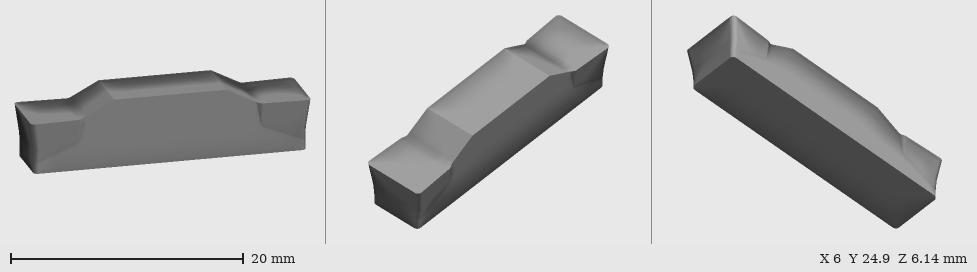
import cadquery as cq
import math

length = 24.94
height = 6.14
body_width = 5.2
edge_width = 6.0

floor_height = 4.67
edge_drop = 0.017
land_length = 0.4
dish_end = 3.62
dish_depth = 0.014
ramp_blend_radius = 1.64
ramp_angle = math.radians(27.6)
crest_start = 7.47

front_relief = math.radians(7.5)
relief_end_height = 2.34
relief_blend_radius = 4.3
corner_radius = 0.4

side_relief = math.radians(6)
back_taper = math.radians(2.5)
flank_length = 4.36
shoulder_angle = math.radians(28)
shoulder_radius = 0.2

tip = length / 2


def outline_points():
    """Half of the YZ outline, as named (y, z) points from the base of the +Y end to the crest."""
    relief_depth = (floor_height - edge_drop - relief_end_height) * math.tan(front_relief)
    relief_y = tip - relief_depth
    base_y = relief_y - relief_blend_radius * (1 - math.cos(front_relief))
    blend_z = relief_end_height - relief_blend_radius * math.sin(front_relief)
    half_angle = front_relief / 2
    blend_mid = (
        base_y + relief_blend_radius * (1 - math.cos(half_angle)),
        blend_z + relief_blend_radius * math.sin(half_angle),
    )

    ramp_rise = height - floor_height
    blend_rise = ramp_blend_radius * (1 - math.cos(ramp_angle))
    ramp_run = (ramp_rise - blend_rise) / math.tan(ramp_angle)
    ramp_y = tip - crest_start + ramp_run
    floor_y = ramp_y + ramp_blend_radius * math.sin(ramp_angle)
    half_ramp = ramp_angle / 2
    ramp_mid = (
        floor_y - ramp_blend_radius * math.sin(half_ramp),
        floor_height + ramp_blend_radius * (1 - math.cos(half_ramp)),
    )
    return {
        "base": (base_y, 0),
        "blend_start": (base_y, blend_z),
        "blend_mid": blend_mid,
        "blend_end": (relief_y, relief_end_height),
        "edge": (tip, floor_height - edge_drop),
        "land_mid": (tip - land_length / 2, floor_height - edge_drop / 4),
        "land_end": (tip - land_length, floor_height),
        "dish_mid": (tip - (land_length + dish_end) / 2, floor_height - dish_depth),
        "dish_end": (tip - dish_end, floor_height),
        "floor_end": (floor_y, floor_height),
        "ramp_mid": ramp_mid,
        "ramp_start": (ramp_y, floor_height + blend_rise),
        "crest": (tip - crest_start, height),
    }


def half_profile(width):
    """The +Y half of the side outline, extruded symmetrically to the given width."""
    p = outline_points()
    return (
        cq.Workplane("YZ")
        .moveTo(0, 0)
        .lineTo(*p["base"])
        .lineTo(*p["blend_start"])
        .threePointArc(p["blend_mid"], p["blend_end"])
        .lineTo(*p["edge"])
        .threePointArc(p["land_mid"], p["land_end"])
        .threePointArc(p["dish_mid"], p["dish_end"])
        .lineTo(*p["floor_end"])
        .threePointArc(p["ramp_mid"], p["ramp_start"])
        .lineTo(*p["crest"])
        .lineTo(0, height)
        .close()
        .extrude(width / 2, both=True)
    )


def head_section(z):
    """Plan outline of the head at height z, narrowed by the side relief and the back taper."""
    half_edge = edge_width / 2 - (floor_height - z) * math.tan(side_relief)
    half_tip = half_edge + corner_radius * math.tan(back_taper)
    half_back = half_tip - flank_length * math.tan(back_taper)
    back_y = tip - flank_length
    apex_y = back_y - half_back / math.tan(shoulder_angle)
    return [
        (-half_tip, tip),
        (half_tip, tip),
        (half_back, back_y),
        (0, apex_y),
        (-half_back, back_y),
    ]


def head_block():
    """Tapered block that bounds the head, with its two shoulder edges rounded."""
    block = (
        cq.Workplane("XY")
        .polyline(head_section(0))
        .close()
        .workplane(offset=height)
        .polyline(head_section(height))
        .close()
        .loft(ruled=True, combine=True)
    )
    back_y = tip - flank_length
    margin = 0.1
    shoulder_box = cq.selectors.BoxSelector(
        (-edge_width, back_y - margin, -margin),
        (edge_width, back_y + margin, height + margin),
    )
    return block.edges(shoulder_box).fillet(shoulder_radius)


def round_tip_corners(solid):
    """Round the upright corner edges at the +Y end."""
    base_y = outline_points()["base"][0]
    corner_box = cq.selectors.BoxSelector(
        (-edge_width, base_y - corner_radius / 2, -height),
        (edge_width, length, floor_height - corner_radius),
    )
    return solid.edges(corner_box).edges("not |X").fillet(corner_radius)


def half_body():
    """The +Y half of the narrow body, trimmed away where the head encloses it completely."""
    trim_floor = (relief_end_height + floor_height) / 2
    inside_head = cq.Workplane("XY").box(
        body_width, dish_end, height, centered=(True, False, False)
    ).translate((0, tip - dish_end, trim_floor))
    return round_tip_corners(half_profile(body_width)).cut(inside_head)


def half_head():
    """The wider head at the +Y end, with relieved flanks and rounded corners."""
    return round_tip_corners(half_profile(2 * edge_width).intersect(head_block()))


half = half_body().union(half_head())
result = half.union(half.mirror("XZ")).clean()